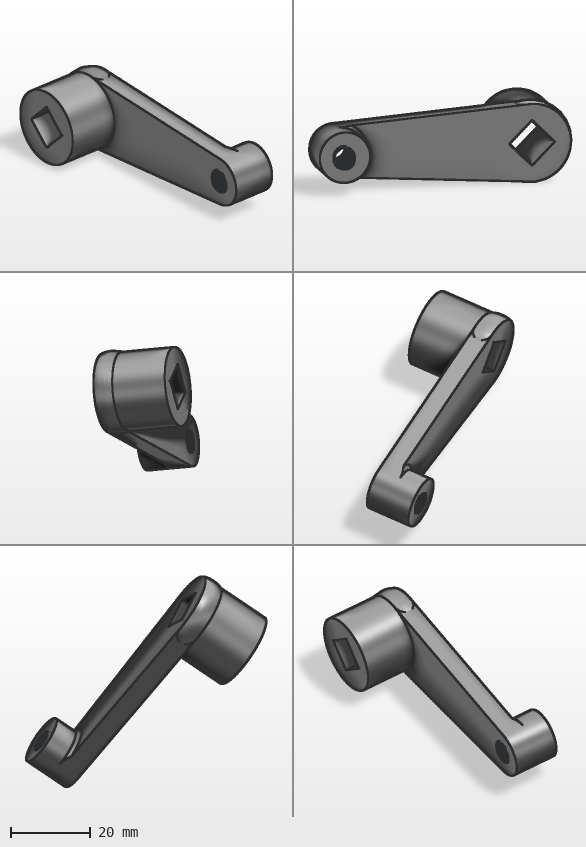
import cadquery as cq
length = 66.95
hub_radius = 20.0 / 2
bulge_radius = 10.5
boss_radius = 13.0 / 2
square_side = 8.25

arm_front = 14.0
arm_thickness = 5.0
arm_back = arm_front + arm_thickness
flare = 1.0
boss_back = 26.0

hub_x = bulge_radius
boss_x = length - boss_radius

thread_minor_radius = 2.55
thread_major_radius = 3.0
thread_pitch = 1.0
groove_mouth = 0.6
groove_root = 0.3
groove_overlap = 0.15
turns_before_face = 2
thread_turns = 16


def cylinder_y(x, radius, y_start, y_end):
    """Cylinder along Y, centred on Z = 0."""
    start = cq.Workplane("XZ", origin=(x, y_start, 0))
    return start.circle(radius).extrude(y_start - y_end)


def tapered_arm(y_start, y_end):
    """Tapered bar from the full width of the hub to the full width of the boss."""
    return (
        cq.Workplane("XZ", origin=(0, y_start, 0))
        .moveTo(hub_x, hub_radius)
        .lineTo(boss_x, boss_radius)
        .lineTo(boss_x, -boss_radius)
        .lineTo(hub_x, -hub_radius)
        .close()
        .extrude(y_start - y_end)
    )


def rounded_collar():
    """Collar around the hub axis with a convex rim as wide as the arm is thick."""
    return (
        cq.Workplane("XY", origin=(hub_x, 0, 0))
        .moveTo(0, arm_front)
        .lineTo(hub_radius, arm_front)
        .threePointArc((bulge_radius, arm_front + arm_thickness / 2), (hub_radius, arm_back))
        .lineTo(0, arm_back)
        .close()
        .revolve(360, (0, 0, 0), (0, 1, 0))
    )


def boss_flare():
    """Conical flare at the foot of the boss, trimmed to the sides of the arm."""
    cone = (
        cq.Workplane("XY", origin=(boss_x, 0, 0))
        .moveTo(0, arm_back)
        .lineTo(boss_radius + flare, arm_back)
        .lineTo(boss_radius, arm_back + flare)
        .lineTo(0, arm_back + flare)
        .close()
        .revolve(360, (0, 0, 0), (0, 1, 0))
    )
    return cone.intersect(tapered_arm(arm_back, arm_back + flare))


def thread_groove():
    """Right-hand helical groove, centred on -Z at the front face of the arm."""
    inner_radius = thread_minor_radius - groove_overlap
    flank_slope = (groove_mouth - groove_root) / (thread_major_radius - thread_minor_radius)
    inner_width = groove_root + flank_slope * (thread_major_radius - inner_radius)
    path = cq.Wire.makeHelix(thread_pitch, thread_turns * thread_pitch, thread_minor_radius)
    groove = (
        cq.Workplane("XZ")
        .moveTo(inner_radius, -inner_width / 2)
        .lineTo(thread_major_radius, -groove_root / 2)
        .lineTo(thread_major_radius, groove_root / 2)
        .lineTo(inner_radius, inner_width / 2)
        .close()
        .sweep(cq.Workplane(obj=path), isFrenet=True)
    )
    start_y = arm_front - turns_before_face * thread_pitch
    return (
        groove.rotate((0, 0, 0), (0, 0, 1), 90)
        .rotate((0, 0, 0), (1, 0, 0), -90)
        .translate((boss_x, start_y, 0))
    )


def square_hole():
    """Square drive hole through the hub, standing on one corner."""
    return (
        cq.Workplane("XZ", origin=(hub_x, 0, 0))
        .transformed(rotate=(0, 0, 45))
        .rect(square_side, square_side)
        .extrude(-arm_back)
    )


body = (
    tapered_arm(arm_front, arm_back)
    .union(cylinder_y(hub_x, hub_radius, 0, arm_back))
    .union(rounded_collar())
    .union(cylinder_y(boss_x, boss_radius, arm_front, boss_back))
    .union(boss_flare())
)

result = (
    body.cut(square_hole())
    .cut(thread_groove())
    .cut(cylinder_y(boss_x, thread_minor_radius, arm_front, boss_back))
)